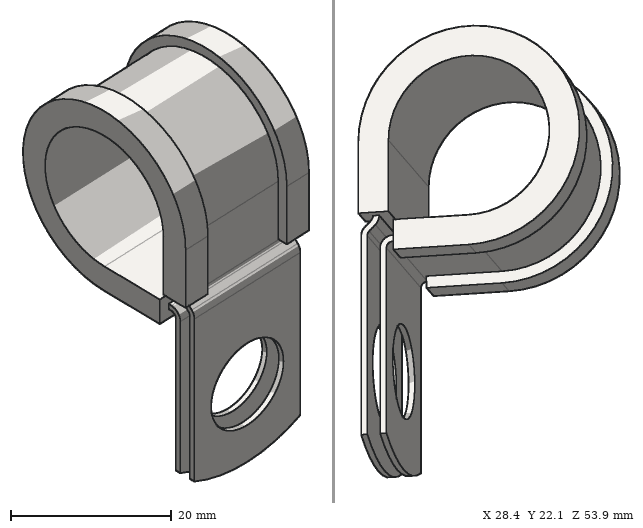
import cadquery as cq
import math


overall_height = 53.85

outer_diameter = 28.4
outer_radius = outer_diameter / 2
cushion_thickness = 3.9
cushion_width = 22.1
side_limb_drop = 9.2
bottom_limb_reach = 9.7
groove_width = 14.1
groove_depth = 1.5

strap_thickness = 0.8
strap_width = 18.95
inner_bend_radius = 0.8
outer_bend_radius = inner_bend_radius + strap_thickness
leg_bottom = outer_radius - overall_height
leg_end_rise = 2.15
inner_leg_face = 11.75
jog_angle = 45.0
jog_top = -9.75
inner_leg_hole_radius = 6.0
outer_leg_hole_radius = 6.45
inner_leg_hole_height = -26.9
outer_leg_hole_height = -27.35

band_outer = outer_radius - groove_depth
band_inner = band_outer - strap_thickness
root_overlap = 1.1


def profile_plane(width):
    """XZ workplane on the +Y side of a body of this width centered on Y = 0."""
    return cq.Workplane("XZ", origin=(0, width / 2, 0))


def loop(outer, inner, width):
    """J-shaped loop with one limb pointing down and one pointing to +X."""
    def wall(radius):
        disc = profile_plane(width).circle(radius).extrude(width)
        corner = (
            profile_plane(width)
            .moveTo(radius / 2, -radius / 2)
            .rect(radius, radius)
            .extrude(width)
        )
        return disc.union(corner)

    corner_gap = (
        profile_plane(width)
        .polyline([
            (bottom_limb_reach, -outer_radius),
            (bottom_limb_reach, -side_limb_drop),
            (outer_radius, -side_limb_drop),
            (outer_radius, -outer_radius),
        ])
        .close()
        .extrude(width)
    )
    return wall(outer).cut(wall(inner)).cut(corner_gap)


def make_cushion():
    cushion = loop(outer_radius, outer_radius - cushion_thickness, cushion_width)
    return cushion.cut(loop(outer_radius, band_outer, groove_width))


def extrude_strap(points):
    return profile_plane(strap_width).polyline(points).close().extrude(strap_width)


def round_bend(leg, corner, radius):
    x, z = corner
    edge = cq.selectors.NearestToPointSelector((x, 0, z))
    return leg.edges("|Y").edges(edge).fillet(radius)


def make_inner_leg():
    """Leg turning straight down from the bottom limb."""
    back_face = inner_leg_face - strap_thickness
    root = bottom_limb_reach - root_overlap
    outer_corner = (inner_leg_face, -band_inner)
    inner_corner = (back_face, -band_outer)
    leg = extrude_strap([
        (root, -band_inner),
        outer_corner,
        (inner_leg_face, leg_bottom),
        (back_face, leg_bottom),
        inner_corner,
        (root, -band_outer),
    ])
    leg = round_bend(leg, outer_corner, outer_bend_radius)
    return round_bend(leg, inner_corner, inner_bend_radius)


def make_outer_leg():
    """Leg jogging outward below the side limb, flush with the cushion."""
    back_face = outer_radius - strap_thickness
    jog_bottom = jog_top - groove_depth / math.tan(math.radians(jog_angle))
    miter = strap_thickness / 2 * math.tan(math.radians(jog_angle / 2))
    root = -side_limb_drop + root_overlap
    upper_front = (band_outer, jog_top + miter)
    lower_front = (outer_radius, jog_bottom + miter)
    lower_back = (back_face, jog_bottom - miter)
    upper_back = (band_inner, jog_top - miter)
    leg = extrude_strap([
        (band_outer, root),
        upper_front,
        lower_front,
        (outer_radius, leg_bottom),
        (back_face, leg_bottom),
        lower_back,
        upper_back,
        (band_inner, root),
    ])
    leg = round_bend(leg, upper_front, inner_bend_radius)
    leg = round_bend(leg, lower_front, outer_bend_radius)
    leg = round_bend(leg, lower_back, inner_bend_radius)
    return round_bend(leg, upper_back, outer_bend_radius)


def finish_leg(leg, hole_radius, hole_height):
    """Round the leg end and pierce its bolt hole."""
    half = strap_width / 2
    shoulder = leg_bottom + leg_end_rise
    outline = (
        cq.Workplane("YZ")
        .moveTo(-half, 0)
        .lineTo(-half, shoulder)
        .threePointArc((0, leg_bottom), (half, shoulder))
        .lineTo(half, 0)
        .close()
        .extrude(outer_radius)
    )
    hole = (
        cq.Workplane("YZ")
        .center(0, hole_height)
        .circle(hole_radius)
        .extrude(outer_radius)
    )
    return leg.intersect(outline).cut(hole)


band = loop(band_outer, band_inner, strap_width)
inner_leg = finish_leg(make_inner_leg(), inner_leg_hole_radius, inner_leg_hole_height)
outer_leg = finish_leg(make_outer_leg(), outer_leg_hole_radius, outer_leg_hole_height)
result = make_cushion().union(band).union(inner_leg).union(outer_leg)